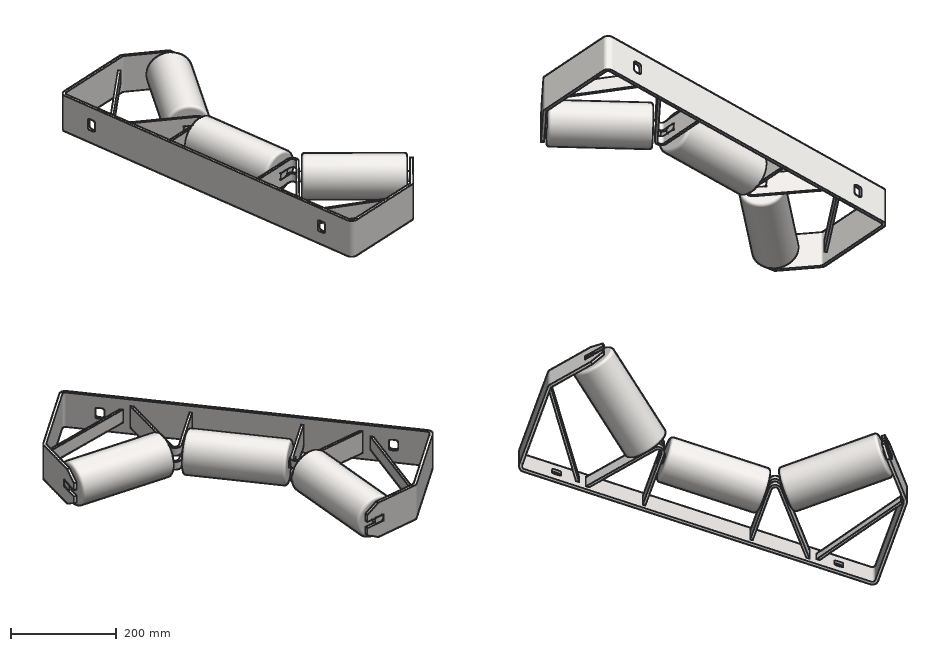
import cadquery as cq
import math

ROLLER_DIAMETER = 89.0
ROLLER_LENGTH = 200.0
ROLLER_EDGE_RADIUS = 6.0
TROUGH_ANGLE = 40.0
MIDDLE_ROLLER_Y = 98.0
OUTER_ROLLER_X = 217.0
OUTER_ROLLER_Y = 178.5

AXLE_DIAMETER = 20.0
AXLE_FLAT_HEIGHT = 14.5
END_GAP = 5.0

FRAME_LENGTH = 720.0
PLATE_THICKNESS = 6.0
PLATE_HEIGHT = 80.0
PLATE_BEND_RADIUS = 12.0
WING_TIP_Y = 271.0
TIP_CHAMFER_LENGTH = 27.0
TIP_CHAMFER_HEIGHT = 16.5

CARRIER_THICKNESS = 5.0
CARRIER_HEIGHT = 50.5
CARRIER_BEND_RADIUS = 12.0

STRUT_THICKNESS = 5.0
STRUT_HEIGHT = 30.0
STRUT_FOOT_X = 239.0
STRUT_END_X = 353.0
STRUT_END_Y = 167.0

HOLE_X = 283.0
HOLE_WIDTH = 18.0
HOLE_HEIGHT = 24.5
HOLE_CORNER_RADIUS = 5.0

TILT = math.radians(TROUGH_ANGLE)
AXIS = (math.cos(TILT), -math.sin(TILT))
UPWARD = (math.sin(TILT), math.cos(TILT))
SEAT = ROLLER_LENGTH / 2 + END_GAP
AXLE_LENGTH = 2 * (SEAT + CARRIER_THICKNESS)
SLOT_DEPTH = 18.0
SLOT_RISE = 57.5
WELD_Y = PLATE_THICKNESS / 2
ROLLER_PLACES = [
    (-OUTER_ROLLER_X, OUTER_ROLLER_Y, -TROUGH_ANGLE),
    (0, MIDDLE_ROLLER_Y, 0),
    (OUTER_ROLLER_X, OUTER_ROLLER_Y, TROUGH_ANGLE),
]


def place(shape, x, y, angle):
    """Move a shape from the origin to a roller's place."""
    return shape.rotate((0, 0, 0), (0, 0, 1), angle).translate((x, y, 0))


def mirrored(points):
    return [(-x, y) for x, y in reversed(points)]


def point_on_slope(distance, y):
    """Point at height y on the line square to the left roller's axis, at a distance from its middle."""
    foot_x = -OUTER_ROLLER_X + distance * AXIS[0]
    foot_y = OUTER_ROLLER_Y + distance * AXIS[1]
    return (foot_x + (y - foot_y) * math.tan(TILT), y)


def y_on_slope(distance, x):
    """Height at which that same line passes x."""
    start_x, start_y = point_on_slope(distance, 0)
    return start_y + (x - start_x) / math.tan(TILT)


def offset_path(points, distance):
    """Path parallel to the given one, on its left, with mitred corners."""
    normals = []
    for (x0, y0), (x1, y1) in zip(points, points[1:]):
        length = math.hypot(x1 - x0, y1 - y0)
        normals.append(((y0 - y1) / length, (x1 - x0) / length))
    before = normals[:1] + normals
    after = normals + normals[-1:]
    moved = []
    for (x, y), (ax, ay), (bx, by) in zip(points, before, after):
        stretch = distance / (1 + ax * bx + ay * by)
        moved.append((x + stretch * (ax + bx), y + stretch * (ay + by)))
    return moved


def bent_strip(middle_line, thickness, height, outside_radius=0.0):
    """Flat strip standing on edge, folded along a middle line, its bends rounded.

    Every bend turns left, so the right-hand face is the outside of them all.
    """
    faces = [offset_path(middle_line, side * thickness / 2) for side in (1, -1)]
    outline = faces[0] + faces[1][::-1]
    strip = cq.Workplane("XY").polyline(outline).close().extrude(height / 2, both=True)
    for face, radius in zip(faces, (outside_radius - thickness, outside_radius)):
        for x, y in face[1:-1]:
            strip = strip.edges(cq.NearestToPointSelector((x, y, 0))).fillet(radius)
    return strip


def cylinder(diameter, length):
    """Round bar along X, centred on the origin."""
    return cq.Workplane("YZ", origin=(-length / 2, 0, 0)).circle(diameter / 2).extrude(length)


def make_roller(x, y, angle):
    """Drum with a round axle that passes into flattened ends, which sit in the plates' slots."""
    drum = cylinder(ROLLER_DIAMETER, ROLLER_LENGTH).faces("<X or >X").edges().fillet(ROLLER_EDGE_RADIUS)
    flats = cq.Workplane("XY").box(AXLE_LENGTH, AXLE_DIAMETER, AXLE_FLAT_HEIGHT)
    flat_ends = cylinder(AXLE_DIAMETER, AXLE_LENGTH).intersect(flats)
    round_axle = cylinder(AXLE_DIAMETER, 2 * SEAT)
    return place(drum.union(round_axle).union(flat_ends), x, y, angle)


def axle_slots(x, y, angle):
    """Slots for both axle ends of one roller, open toward the free edge of the plates."""
    floor = -AXLE_DIAMETER / 2
    slots = cq.Workplane("XY").box(2 * (SEAT + SLOT_DEPTH), SLOT_RISE, AXLE_FLAT_HEIGHT)
    return place(slots.translate((0, floor + SLOT_RISE / 2, 0)), x, y, angle)


def make_outer_plate():
    """Base plate with upright sides and wings that lean inward."""
    side_x = (FRAME_LENGTH - PLATE_THICKNESS) / 2
    wing = -SEAT - PLATE_THICKNESS / 2
    left_half = [
        point_on_slope(wing, WING_TIP_Y),
        (-side_x, y_on_slope(wing, -side_x)),
        (-side_x, PLATE_THICKNESS / 2),
    ]
    path = left_half + mirrored(left_half)
    plate = bent_strip(path, PLATE_THICKNESS, PLATE_HEIGHT, PLATE_BEND_RADIUS)
    return plate.cut(tip_chamfers()).cut(base_holes())


def tip_chamfers():
    """Wedges that cut the four corners off the wing tips."""
    tip_x, tip_y = point_on_slope(-SEAT - PLATE_THICKNESS / 2, WING_TIP_Y)
    wing = cq.Plane(origin=(tip_x, tip_y, 0), xDir=(*UPWARD, 0), normal=(AXIS[0], AXIS[1], 0))
    top = PLATE_HEIGHT / 2
    corner = [(-TIP_CHAMFER_LENGTH, top), (0, top), (0, top - TIP_CHAMFER_HEIGHT)]
    wedge = cq.Workplane(wing).polyline(corner).close().extrude(PLATE_THICKNESS, both=True)
    pair = wedge.union(wedge.mirror("XY"))
    return pair.union(pair.mirror("YZ"))


def base_holes():
    """Two upright mounting holes with rounded corners."""
    holes = cq.Workplane("XZ").pushPoints([(-HOLE_X, 0), (HOLE_X, 0)]).rect(HOLE_WIDTH, HOLE_HEIGHT)
    return holes.extrude(2 * PLATE_THICKNESS, both=True).edges("|Y").fillet(HOLE_CORNER_RADIUS)


def make_carrier():
    """Folded strip between the left and middle rollers, with a leg facing each of them."""
    leg_x = -SEAT - CARRIER_THICKNESS / 2
    slope = SEAT + CARRIER_THICKNESS / 2
    path = [(leg_x, WELD_Y), (leg_x, y_on_slope(slope, leg_x)), point_on_slope(slope, WELD_Y)]
    return bent_strip(path, CARRIER_THICKNESS, CARRIER_HEIGHT, CARRIER_BEND_RADIUS)


def make_strut():
    """Straight brace from the base plate to the left side."""
    path = [(-STRUT_FOOT_X, WELD_Y), (-STRUT_END_X, STRUT_END_Y)]
    return bent_strip(path, STRUT_THICKNESS, STRUT_HEIGHT)


def make_frame():
    frame = make_outer_plate()
    for part in (make_carrier(), make_strut()):
        frame = frame.union(part).union(part.mirror("YZ"))
    for x, y, angle in ROLLER_PLACES:
        frame = frame.cut(axle_slots(x, y, angle))
    return frame


frame = make_frame()
rollers = [make_roller(x, y, angle) for x, y, angle in ROLLER_PLACES]
result = cq.Compound.makeCompound([frame.val(), *[roller.val() for roller in rollers]])